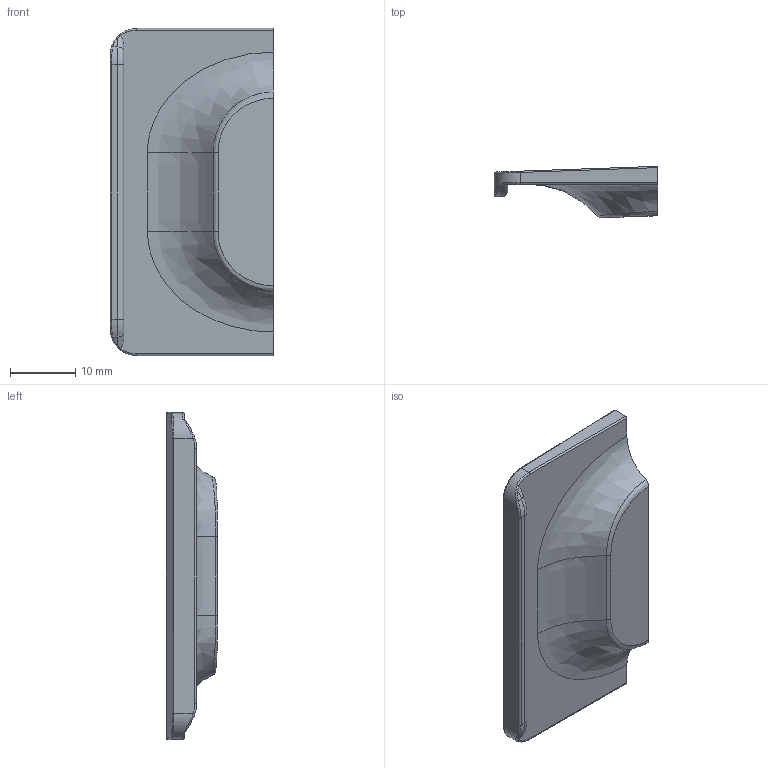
import cadquery as cq
import math


LENGTH = 50.0
HALF_WIDTH = 24.99
CORNER_RADIUS = 4.0
PLATE_THICKNESS = 2.75
TILT = 2.0
EDGE_FILLET = 0.25
BACK_FILLET = 0.2

LIP_WIDTH = 2.08
LIP_HEIGHT = 1.85
LIP_INNER_FILLET = 1.0
LIP_END_INSET = 0.9
LIP_END_SLOPE = 30.0
LIP_END_RADIUS = 5.5

GRIP_THICKNESS = 7.5
GRIP_STRAIGHT = 12.0
GRIP_EDGE_FILLET = 1.0
SIDE_REACH = 19.3
SIDE_RADIUS = 12.5
SIDE_MAX_ANGLE = 42.0
END_REACH = 15.4
END_RADIUS = 6.6
END_MAX_ANGLE = 70.0
FLANK_LEVELS = 7
BLANK_MARGIN = 0.5

HALF_LENGTH = LENGTH / 2
TILT_RISE = math.tan(math.radians(TILT))
GRIP_HEIGHT = GRIP_THICKNESS - PLATE_THICKNESS
GRIP_BLANK_HEIGHT = GRIP_HEIGHT + BLANK_MARGIN


def tilted_slab(y_front, y_back):
    """Slab along Z between two Y levels taken at X = 0, both sloping by TILT."""
    drop = HALF_WIDTH * TILT_RISE
    return (
        cq.Workplane("XY")
        .polyline([(0, y_front), (-HALF_WIDTH, y_front - drop), (-HALF_WIDTH, y_back - drop), (0, y_back)])
        .close()
        .extrude(HALF_LENGTH, both=True)
    )


def outline(y_front, y_back):
    """Block with the plate outline: rounded at the -X corners, square at the split plane."""
    return (
        cq.Workplane("XY")
        .box(HALF_WIDTH, y_back - y_front, LENGTH, centered=(False, False, True))
        .translate((-HALF_WIDTH, y_front, 0))
        .edges("|Y and <X")
        .fillet(CORNER_RADIUS)
    )


def make_lip():
    """Lip bar with ramped ends, rounded along its inner and outer front edges."""
    slope = math.tan(math.radians(LIP_END_SLOPE))
    z_top = HALF_LENGTH - LIP_END_INSET - LIP_HEIGHT / slope
    y_root = LIP_END_INSET * slope
    bar = (
        cq.Workplane("YZ")
        .polyline([(-LIP_HEIGHT, -z_top), (y_root, -HALF_LENGTH), (y_root, HALF_LENGTH), (-LIP_HEIGHT, z_top)])
        .close()
        .extrude(LIP_WIDTH)
        .translate((-HALF_WIDTH, 0, 0))
    )
    bar = bar.edges("|X and <Y").fillet(LIP_END_RADIUS)
    bar = bar.faces(">X").edges("not(>Y or >Z or <Z)").fillet(LIP_INNER_FILLET)
    bar = bar.intersect(outline(-LIP_HEIGHT, PLATE_THICKNESS))
    outer_front_edge = cq.selectors.NearestToPointSelector((-HALF_WIDTH, -LIP_HEIGHT, 0))
    return bar.edges(outer_front_edge).fillet(EDGE_FILLET)


def flank_offset(height, reach, radius, max_angle):
    """Outward distance of a flank: an arc tangent to the plate, then its tangent line."""
    limit = math.radians(max_angle)
    arc_height = radius * (1 - math.cos(limit))
    if height <= arc_height:
        return reach - radius * math.sin(math.acos(1 - height / radius))
    return reach - radius * math.sin(limit) - (height - arc_height) / math.tan(limit)


def grip_section(height):
    """Grip outline at one height: a straight side between two quarter ellipses."""
    side = flank_offset(height, SIDE_REACH, SIDE_RADIUS, SIDE_MAX_ANGLE)
    end = flank_offset(height, END_REACH, END_RADIUS, END_MAX_ANGLE)
    half = GRIP_STRAIGHT / 2
    front = cq.Vector(0, -1, 0)
    right = cq.Vector(1, 0, 0)

    def quarter(z, start, stop):
        centre = cq.Vector(0, -height, z)
        return cq.Edge.makeEllipse(side, end, centre, front, right, start, stop)

    upper = quarter(half, 90, 180)
    lower = quarter(-half, 180, 270)
    left = cq.Edge.makeLine(cq.Vector(-side, -height, half), cq.Vector(-side, -height, -half))
    split = cq.Edge.makeLine(cq.Vector(0, -height, -half - end), cq.Vector(0, -height, half + end))
    return cq.Wire.assembleEdges([upper, left, lower, split])


def make_grip():
    """Grip lofted through its sections, topped by the sloping face with a rounded edge."""
    sections = []
    for level in range(FLANK_LEVELS + 1):
        height = GRIP_BLANK_HEIGHT * (level / FLANK_LEVELS) ** 2
        sections.append(grip_section(height))
    blank = cq.Workplane(cq.Solid.makeLoft(sections))
    grip = blank.intersect(tilted_slab(-GRIP_HEIGHT, HALF_WIDTH))
    return grip.faces("<Y").edges("not(>X)").fillet(GRIP_EDGE_FILLET)


def make_plate():
    """Plate with its lip, rounded along the outer edges."""
    plate = outline(0, PLATE_THICKNESS).faces("<Y").edges("not(>X)").fillet(EDGE_FILLET)
    plate = plate.union(make_lip()).intersect(tilted_slab(-HALF_WIDTH, PLATE_THICKNESS))
    back_direction = cq.Vector(-TILT_RISE, 1, 0)
    back_face = plate.faces(cq.selectors.DirectionMinMaxSelector(back_direction))
    return back_face.edges("not(>X)").fillet(BACK_FILLET)


result = make_plate().union(make_grip())